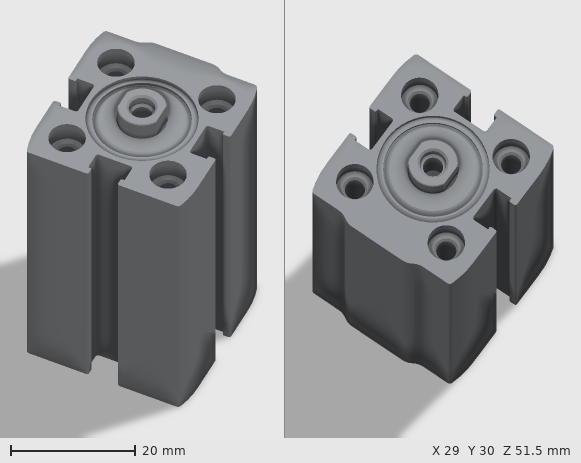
import cadquery as cq
import math

total_height = 51.5
rod_protrusion = 3.0
housing_height = total_height - rod_protrusion
width = 29.0
half_width = width / 2
depth = 30.0
front_face_y = -half_width
back_crest_y = front_face_y + depth
back_face_y = half_width

flat_side_half = 9.2
corner_x = 13.6
corner_radius = 0.6
crest_half = 4.95
crest_foot_x = 8.35

slot_floor = 10.0
slot_lip_inner = 13.15
slot_opening = 5.2
slot_inside_width = 6.5
slot_floor_radius = 0.45
lip_outer_radius = 0.35
lip_inner_radius = 0.25

hole_spacing = 18.0
hole_diameter = 3.25
hole_countersink_diameter = 4.0
counterbore_diameter = 6.0
counterbore_depth = 3.5

recess_radius = 18.2 / 2
recess_depth = 0.75
rim_outer_radius = 16.6 / 2
rim_inner_radius = 16.0 / 2
rim_depth = 0.3
nose_foot_radius = 15.55 / 2
nose_foot_depth = 0.8
nose_shoulder_radius = 14.65 / 2
nose_top_radius = 14.1 / 2
nose_depth = 0.2
nose_edge_drop = 0.15

rod_radius = 8.0 / 2
rod_clearance = 0.1
rod_edge_chamfer = 0.15
rod_buried_length = 12.35
rod_bottom_z = housing_height - rod_buried_length
flats_width = 7.0
flats_shoulder_slope = math.radians(30)
flats_end_depth = 0.8
rod_hole_mouth_radius = 5.0 / 2
rod_hole_entry_radius = 4.3 / 2
rod_hole_entry_depth = 1.75
rod_hole_seat_radius = 4.1 / 2
rod_hole_radius = 3.25 / 2
rod_hole_seat_slope = math.radians(30)
rod_hole_depth = 8.25
drill_point_slope = math.radians(30)


def bowed_side_mid(side, end):
    """Middle point of the arc that leaves a straight side tangentially toward a corner."""
    run = half_width - flat_side_half
    bow = half_width - corner_x
    radius = (run ** 2 + bow ** 2) / (2 * bow)
    half_angle = math.asin(run / radius) / 2
    x = half_width - radius * (1 - math.cos(half_angle))
    y = flat_side_half + radius * math.sin(half_angle)
    return side * x, end * y


def make_outline():
    crest_mid = ((crest_half + crest_foot_x) / 2, (back_crest_y + back_face_y) / 2)
    run = (crest_foot_x - crest_half) / 2
    rise = (back_crest_y - back_face_y) / 2
    radius = (run ** 2 + rise ** 2) / (2 * rise)
    half_angle = math.asin(run / radius) / 2
    dx = radius * math.sin(half_angle)
    dy = radius * (1 - math.cos(half_angle))
    crest_arc = (crest_half + dx, back_crest_y - dy)
    foot_arc = (crest_foot_x - dx, back_face_y + dy)
    return (
        cq.Workplane("XY")
        .moveTo(-corner_x, front_face_y)
        .lineTo(corner_x, front_face_y)
        .threePointArc(bowed_side_mid(1, -1), (half_width, -flat_side_half))
        .lineTo(half_width, flat_side_half)
        .threePointArc(bowed_side_mid(1, 1), (corner_x, back_face_y))
        .lineTo(crest_foot_x, back_face_y)
        .threePointArc(foot_arc, crest_mid)
        .threePointArc(crest_arc, (crest_half, back_crest_y))
        .lineTo(-crest_half, back_crest_y)
        .threePointArc((-crest_arc[0], crest_arc[1]), (-crest_mid[0], crest_mid[1]))
        .threePointArc((-foot_arc[0], foot_arc[1]), (-crest_foot_x, back_face_y))
        .lineTo(-corner_x, back_face_y)
        .threePointArc(bowed_side_mid(-1, 1), (-half_width, flat_side_half))
        .lineTo(-half_width, -flat_side_half)
        .threePointArc(bowed_side_mid(-1, -1), (-corner_x, front_face_y))
        .close()
    )


def upright_edges(body, x, y):
    """Select the vertical edges at (x, y) and (-x, y)."""
    picks = None
    tolerance = 0.025
    margin = 0.5
    for side in (-1, 1):
        low = (side * x - tolerance, y - tolerance, -margin)
        high = (side * x + tolerance, y + tolerance, housing_height + margin)
        box = cq.selectors.BoxSelector(low, high)
        picks = box if picks is None else picks + box
    return body.edges(picks)


def cut_slot(body, angle):
    """Cut a T-slot into the face found by turning the front face about Z."""
    body = body.rotate((0, 0, 0), (0, 0, 1), -angle)
    cavity_depth = slot_lip_inner - slot_floor
    cavity = (
        cq.Workplane("XY")
        .center(0, -(slot_floor + slot_lip_inner) / 2)
        .rect(slot_inside_width, cavity_depth)
        .extrude(housing_height)
    )
    mouth_depth = half_width - slot_floor
    mouth = (
        cq.Workplane("XY")
        .center(0, -(slot_floor + half_width) / 2)
        .rect(slot_opening, mouth_depth)
        .extrude(housing_height)
    )
    body = body.cut(cavity.union(mouth))
    body = upright_edges(body, slot_inside_width / 2, -slot_floor).fillet(slot_floor_radius)
    body = upright_edges(body, slot_opening / 2, -half_width).fillet(lip_outer_radius)
    body = upright_edges(body, slot_opening / 2, -slot_lip_inner).fillet(lip_inner_radius)
    return body.rotate((0, 0, 0), (0, 0, 1), angle)


def make_mounting_hole_cutter():
    floor_z = housing_height - counterbore_depth
    sink_depth = (hole_countersink_diameter - hole_diameter) / 2
    profile = [
        (0, 0),
        (hole_diameter / 2, 0),
        (hole_diameter / 2, floor_z - sink_depth),
        (hole_countersink_diameter / 2, floor_z),
        (counterbore_diameter / 2, floor_z),
        (counterbore_diameter / 2, housing_height),
        (0, housing_height),
    ]
    return cq.Workplane("XZ").polyline(profile).close().revolve(360, (0, 0, 0), (0, 1, 0))


def make_nose_cutter():
    """Material removed around the rod to leave the rim and the conical nose."""
    top = housing_height
    profile = [
        (0, top),
        (recess_radius, top),
        (recess_radius, top - recess_depth),
        (rim_outer_radius, top - rim_depth),
        (rim_inner_radius, top - rim_depth),
        (rim_inner_radius, top - nose_foot_depth),
        (nose_foot_radius, top - nose_foot_depth),
        (nose_shoulder_radius, top - nose_depth - nose_edge_drop),
        (nose_top_radius, top - nose_depth),
        (0, top - nose_depth),
    ]
    return cq.Workplane("XZ").polyline(profile).close().revolve(360, (0, 0, 0), (0, 1, 0))


def make_housing():
    body = make_outline().extrude(housing_height)
    for corner_y in (front_face_y, back_face_y):
        body = upright_edges(body, corner_x, corner_y).fillet(corner_radius)
    for angle in (0, 90, -90):
        body = cut_slot(body, angle)
    hole_cutter = make_mounting_hole_cutter()
    for x in (-hole_spacing / 2, hole_spacing / 2):
        for y in (-hole_spacing / 2, hole_spacing / 2):
            body = body.cut(hole_cutter.translate((x, y, 0)))
    body = body.cut(make_nose_cutter())
    rod_bore = (
        cq.Workplane("XY")
        .workplane(offset=rod_bottom_z)
        .circle(rod_radius + rod_clearance)
        .extrude(rod_buried_length)
    )
    return body.cut(rod_bore)


def make_rod_hole_cutter():
    mouth_depth = rod_hole_mouth_radius - rod_hole_entry_radius
    seat_drop = (rod_hole_seat_radius - rod_hole_radius) * math.tan(rod_hole_seat_slope)
    point_drop = rod_hole_radius * math.tan(drill_point_slope)
    profile = [
        (0, total_height),
        (rod_hole_mouth_radius, total_height),
        (rod_hole_entry_radius, total_height - mouth_depth),
        (rod_hole_entry_radius, total_height - rod_hole_entry_depth),
        (rod_hole_seat_radius, total_height - rod_hole_entry_depth),
        (rod_hole_radius, total_height - rod_hole_entry_depth - seat_drop),
        (rod_hole_radius, total_height - rod_hole_depth),
        (0, total_height - rod_hole_depth - point_drop),
    ]
    return cq.Workplane("XZ").polyline(profile).close().revolve(360, (0, 0, 0), (0, 1, 0))


def make_flat_cutter():
    """Wedge-ended cutter for the wrench flat on the +X side of the rod."""
    flat_x = flats_width / 2
    end_z = housing_height - flats_end_depth
    shoulder_drop = (rod_radius - flat_x) * math.tan(flats_shoulder_slope)
    profile = [
        (flat_x, total_height),
        (flat_x, end_z),
        (rod_radius, end_z - shoulder_drop),
        (rod_radius, total_height),
    ]
    return cq.Workplane("XZ").polyline(profile).close().extrude(rod_radius, both=True)


def make_rod():
    rod = (
        cq.Workplane("XY")
        .workplane(offset=rod_bottom_z)
        .circle(rod_radius)
        .extrude(total_height - rod_bottom_z)
        .faces(">Z")
        .chamfer(rod_edge_chamfer)
    )
    flat_cutter = make_flat_cutter()
    rod = rod.cut(flat_cutter).cut(flat_cutter.mirror("YZ"))
    return rod.cut(make_rod_hole_cutter())


housing = make_housing()
piston_rod = make_rod()
result = cq.Compound.makeCompound([housing.val(), piston_rod.val()])